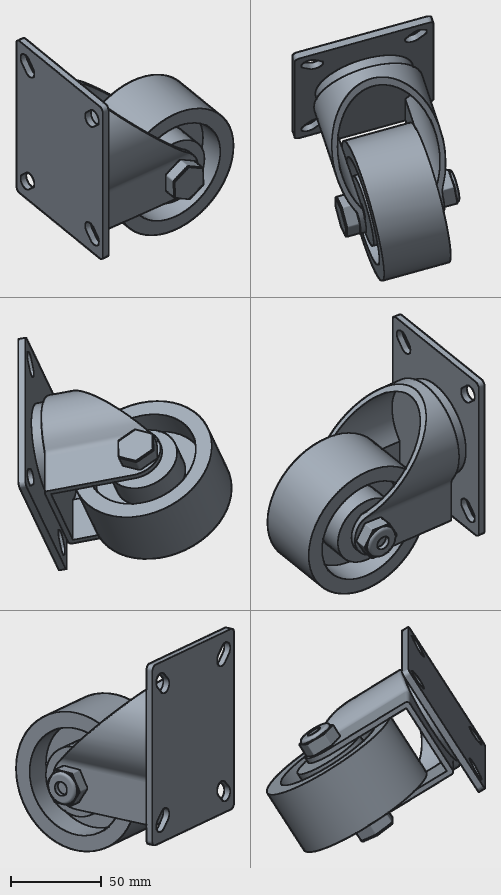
import cadquery as cq
import math


PLATE_WIDTH = 80.0
PLATE_HEIGHT = 105.0
PLATE_THICKNESS = 4.0
PLATE_CORNER_RADIUS = 3.0
SLOT_PITCH_X = 59.7
SLOT_PITCH_Z = 79.7
SLOT_WIDTH = 8.9
SLOT_LENGTH = 14.2
SLOT_ANGLE = 45

WHEEL_RADIUS = PLATE_WIDTH / 2
WHEEL_WIDTH = 38.4
OVERALL_HEIGHT = 125.5
OVERALL_DEPTH = 105.0
AXLE_Y = OVERALL_DEPTH - WHEEL_RADIUS
AXLE_Z = PLATE_HEIGHT / 2 - OVERALL_HEIGHT + WHEEL_RADIUS
AXLE_RADIUS = 4.0
RIM_INNER_RADIUS = 30.9
HUB_RADIUS = 20.1
WHEEL_RECESS_DEPTH = 15.9

WALL = 3.1
FORK_RADIUS = 31.2
FORK_INNER_RADIUS = FORK_RADIUS - WALL
LEG_OUTER_X = 24.1
LEG_INNER_X = LEG_OUTER_X - WALL
LEG_BLEND_RADIUS = 7.5
FORK_BOTTOM_Z = -47.0
FORK_EDGE_RADIUS = 2.0
CUT_START_Y = 17.8
LEG_END_RADIUS = 15.3
LEG_END_Y = 61.7
LEG_END_Z = FORK_BOTTOM_Z + LEG_END_RADIUS

NECK_RADIUS = FORK_INNER_RADIUS
NECK_LENGTH = 6.0
FORK_BACK_Y = PLATE_THICKNESS + NECK_LENGTH

HEX_HEIGHT = 8.0
HEAD_FLATS = 20.2
HEAD_CORNER_RADIUS = 1.3
HEAD_TURN = 1.5
HEAD_CHAMFER_INSET = 0.4
HEAD_CHAMFER_LENGTH = 0.9
NUT_FLATS = 19.2
NUT_CORNER_RADIUS = 0.8
NUT_TURN = 2.3
NUT_CHAMFER = 0.4
COLLAR_RADIUS = 9.4
COLLAR_HEIGHT = 1.9
BOLT_END_RECESS = 3.0


def disc(radius, start_x, length):
    """Cylinder on the axle line, running toward +X."""
    return (
        cq.Workplane("YZ", origin=(start_x, AXLE_Y, AXLE_Z))
        .circle(radius)
        .extrude(length)
    )


def hex_block(flats, corner_radius, turn, first_corner, start_x):
    """Hexagonal block on the axle line with rounded corners."""
    return (
        cq.Workplane("YZ", origin=(start_x, AXLE_Y, AXLE_Z))
        .transformed(rotate=(0, 0, first_corner + turn))
        .polygon(6, flats / math.cos(math.pi / 6))
        .extrude(HEX_HEIGHT)
        .edges("|X")
        .fillet(corner_radius)
    )


def make_plate():
    plate = (
        cq.Workplane("XZ")
        .rect(PLATE_WIDTH, PLATE_HEIGHT)
        .extrude(-PLATE_THICKNESS)
        .edges("|Y")
        .fillet(PLATE_CORNER_RADIUS)
    )
    for side_x in (-1, 1):
        for side_z in (-1, 1):
            slot = (
                cq.Workplane("XZ")
                .center(side_x * SLOT_PITCH_X / 2, side_z * SLOT_PITCH_Z / 2)
                .slot2D(SLOT_LENGTH, SLOT_WIDTH, side_x * side_z * SLOT_ANGLE)
                .extrude(-PLATE_THICKNESS)
            )
            plate = plate.cut(slot)
    return plate


def make_neck():
    return (
        cq.Workplane("XZ", origin=(0, PLATE_THICKNESS, 0))
        .circle(NECK_RADIUS)
        .extrude(-NECK_LENGTH)
    )


def fork_shell():
    """Arched block with straight legs, before hollowing and trimming."""
    blend_x = LEG_OUTER_X + LEG_BLEND_RADIUS
    blend_z = -math.sqrt((FORK_RADIUS + LEG_BLEND_RADIUS) ** 2 - blend_x**2)
    to_arch = FORK_RADIUS / (FORK_RADIUS + LEG_BLEND_RADIUS)
    arch_end_x = blend_x * to_arch
    arch_end_z = blend_z * to_arch
    middle_angle = (math.pi + math.atan2(-blend_z, -blend_x)) / 2
    blend_middle_x = blend_x + LEG_BLEND_RADIUS * math.cos(middle_angle)
    blend_middle_z = blend_z + LEG_BLEND_RADIUS * math.sin(middle_angle)
    return (
        cq.Workplane("XZ", origin=(0, FORK_BACK_Y, 0))
        .moveTo(-LEG_OUTER_X, FORK_BOTTOM_Z)
        .lineTo(-LEG_OUTER_X, blend_z)
        .threePointArc((-blend_middle_x, blend_middle_z), (-arch_end_x, arch_end_z))
        .threePointArc((0, FORK_RADIUS), (arch_end_x, arch_end_z))
        .threePointArc((blend_middle_x, blend_middle_z), (LEG_OUTER_X, blend_z))
        .lineTo(LEG_OUTER_X, FORK_BOTTOM_Z)
        .close()
        .extrude(FORK_BACK_Y - LEG_END_Y - LEG_END_RADIUS)
        .faces("<Y")
        .edges("not <Z")
        .fillet(FORK_EDGE_RADIUS)
    )


def fork_hollow():
    """Space between the legs, open at the bottom and away from the plate."""
    arch_end_z = -math.sqrt(FORK_INNER_RADIUS**2 - LEG_INNER_X**2)
    return (
        cq.Workplane("XZ", origin=(0, FORK_BACK_Y + WALL, 0))
        .moveTo(-LEG_INNER_X, FORK_BOTTOM_Z)
        .lineTo(-LEG_INNER_X, arch_end_z)
        .threePointArc((0, FORK_INNER_RADIUS), (LEG_INNER_X, arch_end_z))
        .lineTo(LEG_INNER_X, FORK_BOTTOM_Z)
        .close()
        .extrude(-OVERALL_DEPTH)
    )


def fork_side_outline():
    """Side shape of the fork: sloping cut running tangent into the round leg ends."""
    to_end_y = LEG_END_Y - CUT_START_Y
    to_end_z = LEG_END_Z - FORK_RADIUS
    distance = math.hypot(to_end_y, to_end_z)
    tangent_angle = math.atan2(-to_end_z, -to_end_y) - math.acos(LEG_END_RADIUS / distance)
    tangent_y = LEG_END_Y + LEG_END_RADIUS * math.cos(tangent_angle)
    tangent_z = LEG_END_Z + LEG_END_RADIUS * math.sin(tangent_angle)
    return (
        cq.Workplane("YZ")
        .moveTo(FORK_BACK_Y, FORK_BOTTOM_Z)
        .lineTo(FORK_BACK_Y, FORK_RADIUS)
        .lineTo(CUT_START_Y, FORK_RADIUS)
        .lineTo(tangent_y, tangent_z)
        .threePointArc((LEG_END_Y + LEG_END_RADIUS, LEG_END_Z), (LEG_END_Y, FORK_BOTTOM_Z))
        .close()
        .extrude(FORK_RADIUS, both=True)
    )


def make_fork(bolt):
    """Fork with the axle holes; cutting by the bolt also clears its head from the leg blend."""
    axle_hole = disc(AXLE_RADIUS, -FORK_RADIUS, 2 * FORK_RADIUS)
    fork = fork_shell().cut(fork_hollow()).intersect(fork_side_outline())
    return fork.cut(axle_hole).cut(bolt)


def make_wheel():
    wheel = disc(WHEEL_RADIUS, -WHEEL_WIDTH / 2, WHEEL_WIDTH)
    for start_x in (-WHEEL_WIDTH / 2, WHEEL_WIDTH / 2 - WHEEL_RECESS_DEPTH):
        recess = disc(RIM_INNER_RADIUS, start_x, WHEEL_RECESS_DEPTH)
        hub = disc(HUB_RADIUS, start_x, WHEEL_RECESS_DEPTH)
        wheel = wheel.cut(recess.cut(hub))
    return wheel.cut(disc(AXLE_RADIUS, -WHEEL_WIDTH / 2, WHEEL_WIDTH))


def make_bolt():
    head = (
        hex_block(HEAD_FLATS, HEAD_CORNER_RADIUS, HEAD_TURN, 90, LEG_OUTER_X)
        .faces(">X")
        .chamfer(HEAD_CHAMFER_LENGTH, HEAD_CHAMFER_INSET)
    )
    shank_end_x = BOLT_END_RECESS - LEG_OUTER_X - HEX_HEIGHT - COLLAR_HEIGHT
    return head.union(disc(AXLE_RADIUS, shank_end_x, LEG_OUTER_X - shank_end_x))


def make_nut():
    outer_x = -LEG_OUTER_X - HEX_HEIGHT
    body = (
        hex_block(NUT_FLATS, NUT_CORNER_RADIUS, NUT_TURN, 0, outer_x)
        .faces("<X")
        .chamfer(NUT_CHAMFER)
    )
    collar = (
        disc(COLLAR_RADIUS, outer_x - COLLAR_HEIGHT, COLLAR_HEIGHT + HEX_HEIGHT)
        .faces("<X")
        .edges()
        .fillet(COLLAR_HEIGHT)
    )
    bore = disc(AXLE_RADIUS, outer_x - COLLAR_HEIGHT, COLLAR_HEIGHT + HEX_HEIGHT)
    return body.union(collar).cut(bore)


plate = make_plate()
neck = make_neck()
bolt = make_bolt()
fork = make_fork(bolt)
wheel = make_wheel()
nut = make_nut()

bodies = [plate, neck, fork, wheel, bolt, nut]
result = cq.Compound.makeCompound([body.solids().val() for body in bodies])